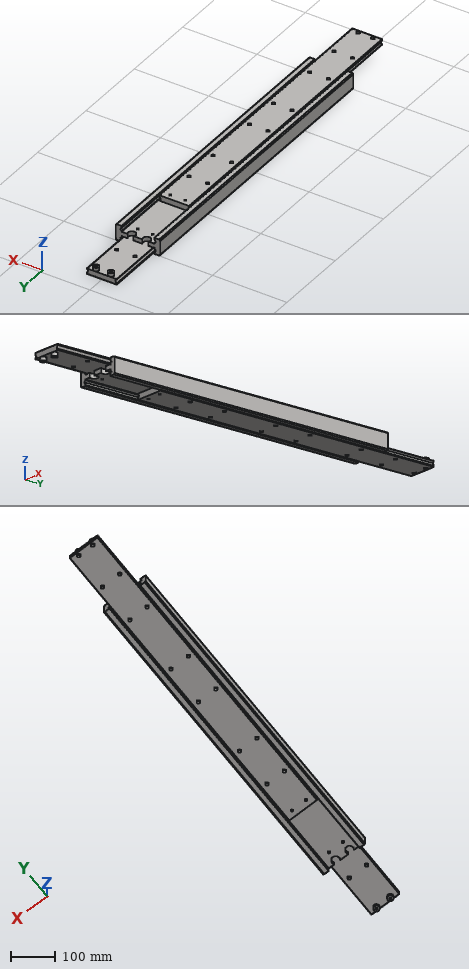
import cadquery as cq

housing_length = 800.0
housing_width = 120.0
height = 44.0
web_thickness = 12.0
opening_width = 88.0
edge_chamfer = 3.0

slider_length = 800.0
slider_width = 80.0
slider_thickness = 15.0
slider_travel = 150.0
slider_bottom = height / 2 - slider_thickness

track_depth = 3.25
track_outer_height = 19.0
track_valley_height = 12.0
track_inner_height = 8.0

pin_x = 20.0
pin_diameter = 15.0
pin_height = 9.0
pin_y = pin_diameter / 2 - slider_length / 2
pin_bore_diameter = 9.0
pin_recess_diameter = 5.0
pin_recess_depth = pin_recess_diameter / 2

notch_diameter = 20.0
notch_centre_depth = 6.0

mount_hole_x = 25.0
mount_hole_diameter = 8.0
mount_hole_distances = (50.0, 200.0, 300.0)
small_hole_diameter = 5.0
slider_small_hole_y = slider_length / 2 - 15.0
web_small_hole_y = housing_length / 2 - 30.0


def round_bars(points, diameter, bottom, length):
    """Upright cylinders of one diameter, standing on the level `bottom`."""
    bars = cq.Workplane("XY", origin=(0, 0, bottom)).pushPoints(points)
    return bars.circle(diameter / 2).extrude(length)


def track_cutter(face_x, direction, length):
    """V-shaped prism along Y, above the mid plane, cutting from face_x towards direction (+1 or -1)."""
    return (
        cq.Workplane("XZ", origin=(0, length / 2, 0))
        .moveTo(face_x, track_inner_height)
        .lineTo(face_x + direction * track_depth, track_valley_height)
        .lineTo(face_x, track_outer_height)
        .close()
        .extrude(length)
    )


def make_housing():
    body = cq.Workplane("XY").box(housing_width, housing_length, height)
    body = body.edges("|Y").chamfer(edge_chamfer)

    channel_depth = (height - web_thickness) / 2
    channel_z = (web_thickness + channel_depth) / 2
    channel = cq.Workplane("XY").box(opening_width, housing_length, channel_depth)
    channel = channel.translate((0, 0, channel_z))
    for side in (1, -1):
        channel = channel.union(track_cutter(side * opening_width / 2, side, housing_length))
    body = body.cut(channel).cut(channel.mirror("XY"))

    notch_y = housing_length / 2 - notch_centre_depth
    notch_points = [(x, y) for x in (-pin_x, pin_x) for y in (-notch_y, notch_y)]
    hole_points = [(x, y) for x in (-pin_x, pin_x) for y in (-web_small_hole_y, web_small_hole_y)]
    web_bottom = -web_thickness / 2
    body = body.cut(round_bars(notch_points, notch_diameter, web_bottom, web_thickness))
    return body.cut(round_bars(hole_points, small_hole_diameter, web_bottom, web_thickness))


def make_upper_slider():
    body = cq.Workplane("XY", origin=(0, 0, slider_bottom))
    body = body.rect(slider_width, slider_length).extrude(slider_thickness)
    for side in (1, -1):
        body = body.cut(track_cutter(side * slider_width / 2, -side, slider_length))

    pin_points = [(-pin_x, pin_y), (pin_x, pin_y)]
    pin_bottom = slider_bottom - pin_height
    body = body.union(round_bars(pin_points, pin_diameter, pin_bottom, pin_height))
    body = body.cut(round_bars(pin_points, pin_bore_diameter, slider_bottom, slider_thickness))
    for x, y in pin_points:
        tip = cq.Vector(x, y, pin_bottom)
        recess = cq.Solid.makeCone(pin_recess_diameter / 2, 0, pin_recess_depth, tip)
        body = body.cut(cq.Workplane(recess))

    mount_points = [
        (x, side * distance)
        for x in (-mount_hole_x, mount_hole_x)
        for side in (1, -1)
        for distance in mount_hole_distances
    ]
    small_points = [(-pin_x, slider_small_hole_y), (pin_x, slider_small_hole_y)]
    body = body.cut(round_bars(mount_points, mount_hole_diameter, slider_bottom, slider_thickness))
    body = body.cut(round_bars(small_points, small_hole_diameter, slider_bottom, slider_thickness))
    return body.translate((0, -slider_travel, 0))


housing = make_housing()
upper_slider = make_upper_slider()
lower_slider = upper_slider.rotate((0, 0, 0), (1, 0, 0), 180)

result = cq.Compound.makeCompound([body.solids().val() for body in (housing, upper_slider, lower_slider)])